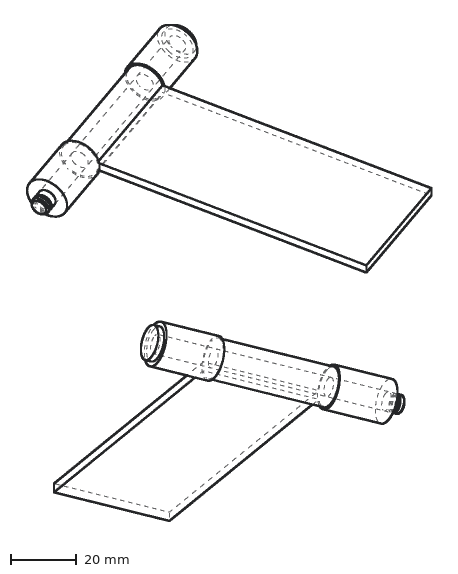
import cadquery as cq


overall_width = 107.0
overall_length = 87.0

knuckle_diameter = 14.0
knuckle_length = 20.0

leaf_length = 40.0
barrel_diameter = 12.7
plate_thickness = 3.0
plate_end_x = overall_width - knuckle_diameter / 2

pin_diameter = 6.0
head_diameter = 11.0
head_length = 2.0
groove_diameter = 4.8
groove_width = 0.8
groove_offset = 2.5
tip_chamfer = 0.5

stack_end_y = leaf_length / 2 + knuckle_length
head_end_y = stack_end_y + head_length
tip_y = head_end_y - overall_length
groove_start_y = -stack_end_y - groove_offset
groove_end_y = groove_start_y - groove_width


def cylinder(diameter, length, center_y):
    """Solid cylinder along the hinge axis, centered at center_y."""
    return (
        cq.Workplane("XZ", origin=(0, center_y + length / 2, 0))
        .circle(diameter / 2)
        .extrude(length)
    )


def make_knuckle(center_y):
    """Outer sleeve bored for the pin."""
    sleeve = cylinder(knuckle_diameter, knuckle_length, center_y)
    return sleeve.cut(cylinder(pin_diameter, knuckle_length, center_y))


def make_leaf():
    """Flat plate and its barrel in one piece, bored for the pin."""
    plate = cq.Workplane("XY").box(
        plate_end_x, leaf_length, plate_thickness, centered=(False, True, True)
    )
    barrel = cylinder(barrel_diameter, leaf_length, 0)
    return barrel.union(plate).cut(cylinder(pin_diameter, leaf_length, 0))


def make_pin():
    """Turned pin with a flat head, a retaining groove and a chamfered tip."""
    pin_radius = pin_diameter / 2
    head_radius = head_diameter / 2
    groove_radius = groove_diameter / 2
    half_profile = [
        (0, head_end_y),
        (head_radius, head_end_y),
        (head_radius, stack_end_y),
        (pin_radius, stack_end_y),
        (pin_radius, groove_start_y),
        (groove_radius, groove_start_y),
        (groove_radius, groove_end_y),
        (pin_radius, groove_end_y),
        (pin_radius, tip_y + tip_chamfer),
        (pin_radius - tip_chamfer, tip_y),
        (0, tip_y),
    ]
    return cq.Workplane("XY").polyline(half_profile).close().revolve(360, (0, 0), (0, 1))


leaf = make_leaf()
pin = make_pin()
knuckle_center_y = (leaf_length + knuckle_length) / 2
knuckles = [make_knuckle(side * knuckle_center_y) for side in (-1, 1)]

result = cq.Compound.makeCompound(
    [leaf.val(), pin.val(), *[knuckle.val() for knuckle in knuckles]]
)